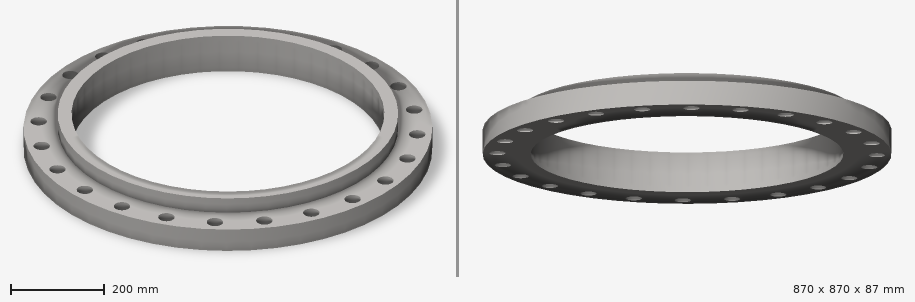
import cadquery as cq

flange_diameter = 870.0
flange_thickness = 52.0
hub_diameter = 724.5
total_height = 87.0
bore_diameter = 665.0
bolt_circle_diameter = 807.0
bolt_hole_diameter = 35.0
bolt_hole_count = 24


def make_ring_body():
    """Flat flange with a raised hub, open through the middle."""
    flange = cq.Workplane("XY").circle(flange_diameter / 2).extrude(flange_thickness)
    hub = cq.Workplane("XY").circle(hub_diameter / 2).extrude(total_height)
    bore = cq.Workplane("XY").circle(bore_diameter / 2).extrude(total_height)
    return flange.union(hub).cut(bore)


def make_bolt_holes():
    """Through holes spaced evenly around the bolt circle, the first on +X."""
    return (
        cq.Workplane("XY")
        .polarArray(bolt_circle_diameter / 2, 0, 360, bolt_hole_count)
        .circle(bolt_hole_diameter / 2)
        .extrude(flange_thickness)
    )


result = make_ring_body().cut(make_bolt_holes())